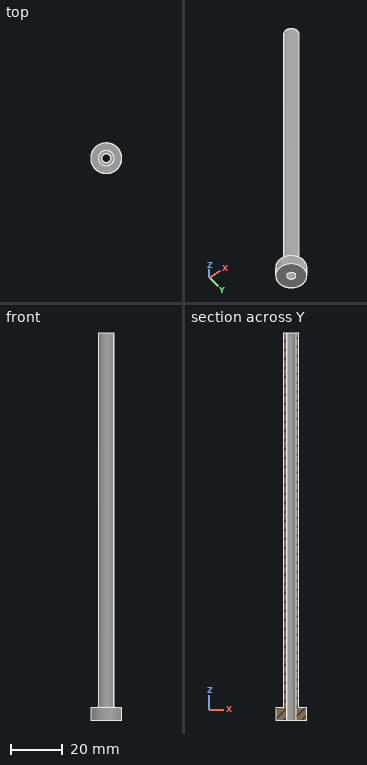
import cadquery as cq

total_length = 150.0
head_diameter = 12.0
head_height = 5.1
tube_diameter = 6.0
bore_diameter = 3.5
root_fillet_radius = 0.3

head = cq.Workplane("XY").circle(head_diameter / 2).extrude(head_height)
tube = cq.Workplane("XY").circle(tube_diameter / 2).extrude(total_length)
body = head.union(tube)

tube_root = cq.selectors.RadiusNthSelector(0)
body = body.faces("<Z[1]").edges(tube_root).fillet(root_fillet_radius)

bore = cq.Workplane("XY").circle(bore_diameter / 2).extrude(total_length)

result = body.cut(bore)